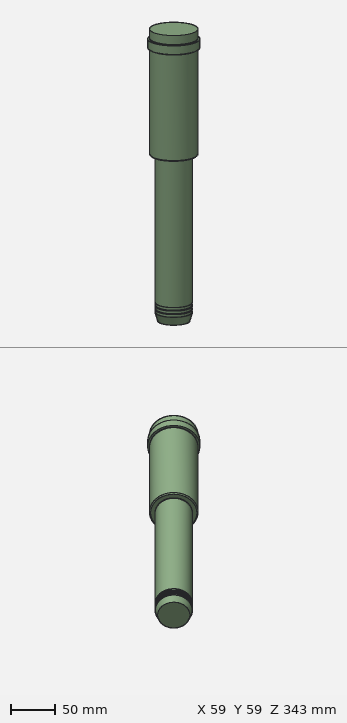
import cadquery as cq

length = 343.0
body_radius = 27.5
shaft_radius = 21.3
flange_radius = 29.5
body_bottom = 194.8
body_chamfer = 1.5

flange_top = 331.5
flange_thickness = 10.3
flange_bottom = flange_top - flange_thickness

relief_width = 1.0
relief_depth = 0.17

tip_radius = 18.2
tip_height = 10.0

groove_count = 3
groove_pitch = 4.0
groove_width = 3.0
groove_depth = 0.7
lowest_groove_bottom = 10.3


def cylinder(radius, bottom, height):
    """Solid cylinder on the Z axis."""
    return cq.Workplane("XY").workplane(offset=bottom).circle(radius).extrude(height)


def ring(inner_radius, bottom, height):
    """Ring of waste material around a core of the given radius."""
    return cylinder(flange_radius, bottom, height).cut(cylinder(inner_radius, bottom, height))


shaft = (
    cq.Workplane("XZ")
    .polyline([
        (0, 0),
        (tip_radius, 0),
        (shaft_radius, tip_height),
        (shaft_radius, body_bottom),
        (0, body_bottom),
    ])
    .close()
    .revolve(360, (0, 0, 0), (0, 1, 0))
)

body = cylinder(body_radius, body_bottom, length - body_bottom).faces("<Z").edges().chamfer(body_chamfer)
flange = cylinder(flange_radius, flange_bottom, flange_thickness)
result = shaft.union(body).union(flange)

for index in range(groove_count):
    groove_bottom = lowest_groove_bottom + index * groove_pitch
    result = result.cut(ring(shaft_radius - groove_depth, groove_bottom, groove_width))

for outer_radius, relief_bottom in [
    (shaft_radius, body_bottom - relief_width),
    (body_radius, flange_bottom - relief_width),
    (body_radius, flange_top),
]:
    result = result.cut(ring(outer_radius - relief_depth, relief_bottom, relief_width))